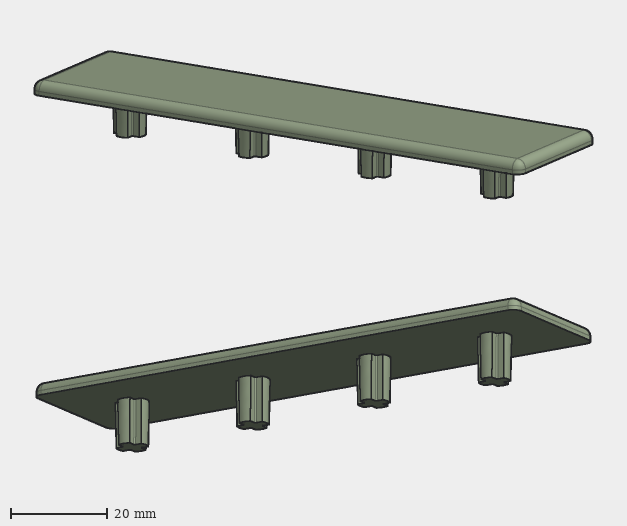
import cadquery as cq

LENGTH = 120.0
WIDTH = 30.0
PLATE_THICKNESS = 3.0
EDGE_RADIUS = 2.0

TOTAL_HEIGHT = 12.8
PEG_LENGTH = TOTAL_HEIGHT - PLATE_THICKNESS
PEG_COUNT = 4
PEG_PITCH = LENGTH / PEG_COUNT
PEG_DIAMETER = 7.15
ARM_WIDTH = 3.05
ROOT_RADIUS = 0.3
DRAFT_ANGLE = 1.0


def make_plate():
    """Plate with its underside at Z = 0, rounded corners and a rounded top rim."""
    plate = cq.Workplane("XY").box(LENGTH, WIDTH, PLATE_THICKNESS, centered=(True, True, False))
    plate = plate.edges("|Z").fillet(EDGE_RADIUS)
    return plate.faces(">Z").edges().fillet(EDGE_RADIUS)


def make_arm(size_x, size_y):
    """Rectangular bar hanging from Z = 0 and narrowing toward its free end."""
    return cq.Workplane("XY").rect(size_x, size_y).extrude(-PEG_LENGTH, taper=DRAFT_ANGLE)


def make_peg():
    """Cross-shaped peg with filleted inner corners and arm ends rounded by one cone."""
    cross = make_arm(PEG_DIAMETER, ARM_WIDTH).union(make_arm(ARM_WIDTH, PEG_DIAMETER))
    inner_corner_box = cq.selectors.BoxSelector(
        (-ARM_WIDTH, -ARM_WIDTH, -PEG_LENGTH),
        (ARM_WIDTH, ARM_WIDTH, 0),
    )
    inner_corners = cross.edges(inner_corner_box).edges("not(#Z)")
    cross = inner_corners.fillet(ROOT_RADIUS)
    envelope = cq.Workplane("XY").circle(PEG_DIAMETER / 2).extrude(-PEG_LENGTH, taper=DRAFT_ANGLE)
    return cross.intersect(envelope)


result = make_plate()
peg = make_peg()
for index in range(PEG_COUNT):
    peg_x = (index - (PEG_COUNT - 1) / 2) * PEG_PITCH
    result = result.union(peg.translate((peg_x, 0, 0)))